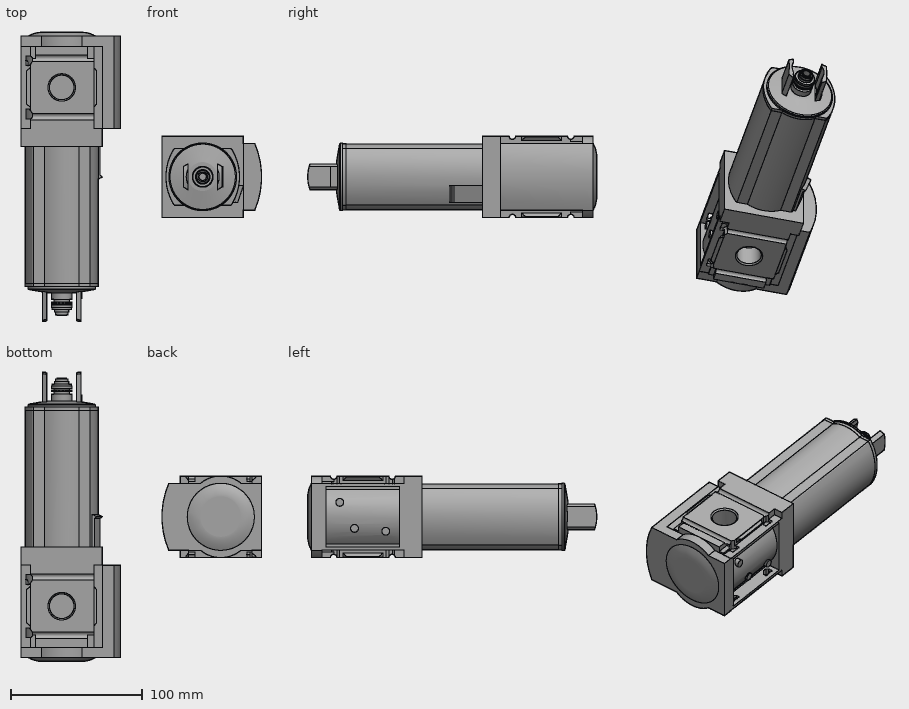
import cadquery as cq
import math


HEAD_SIDE = 62.0
HEAD_HALF = HEAD_SIDE / 2
HEAD_BACK = 84.2
FLANGE_THICKNESS = 13.8
CORE_HALF = 25.5
BAND_FRONT = 76.3
STRIP_STEP = 0.2
PANEL_EDGE_X = 39.5
PANEL_TIP_X = 44.8
BUMP_HALF_WIDTH = 15.4
DOME_BASE_RADIUS = 25.5
DOME_FLAT_RADIUS = 15.4
DOME_HEIGHT = 2.9

PAD_LEFT = -23.7
PAD_RIGHT = 24.5
PAD_CENTRE_Y = (FLANGE_THICKNESS + BAND_FRONT) / 2
GROOVE_RADIUS = 2.5
GROOVE_OFFSET = 22.2
CORNER_LEVEL = 26.8
CORNER_FRONT = 67.0
CORNER_HALF_GAP = 19.8
PORT_DIAMETER = 18.7
PORT_MOUTH_DIAMETER = 20.9
PORT_DEPTH = 17.5
MOUTH_DEPTH = (PORT_MOUTH_DIAMETER - PORT_DIAMETER) / 2

RIB_TOP = 30.5
RIB_TIP_LEVEL = 30.1
RIB_ROOT_LEVEL = 27.5
RIB_HALF_LENGTH = 15.2
RIB_TIP_HALF_LENGTH = 12.5
LEFT_RIB_REACH = 3.0
RIGHT_RIB_REACH = 2.2

WINDOW_FRONT = 17.4
WINDOW_BACK = 73.0
WINDOW_HALF_HEIGHT = 22.9
WINDOW_FLOOR_X = -20.2
DRUM_RADIUS = 29.0
PIN_DIAMETER = 6.0
PIN_END_X = -29.2
PIN_PLACES = [(62.7, 11.0), (51.5, -8.8), (27.7, -11.0)]

NOTCH_OUTER_X = -27.3
NOTCH_SHOULDER_X = -24.6
NOTCH_INNER_X = -22.2
NOTCH_FRONT = 61.5
NOTCH_INNER_FRONT = 64.8
NOTCH_INNER_BACK = 67.7
NOTCH_BACK = 69.0

BOWL_DIAMETER = 50.3
BOWL_RADIUS = BOWL_DIAMETER / 2
BOWL_LENGTH = 106.5
BOWL_SIDE_X = 28.0
BOWL_CORNER_X = 22.2
BOWL_CORNER_Z = 21.5
BOWL_CHAMFER = 0.9
COLLAR_BACK = -103.8
COLLAR_GROWTH = 0.1
BEAD_RADIUS = 25.7
BEAD_FRONT = -108.0
CAP_BASE_RADIUS = 24.8
CAP_BASE_FRONT = -108.5
CAP_FLAT_RADIUS = 11.0
CAP_FRONT = -111.0

STEM_DIAMETER = 15.8
TOOTHED_BACK = -118.0
TOOTHED_FRONT = -119.4
STEM_STEPS = [
    (STEM_DIAMETER, -116.0),
    (11.9, TOOTHED_BACK),
    (STEM_DIAMETER, TOOTHED_FRONT),
    (11.9, -120.2),
    (STEM_DIAMETER, -122.2),
    (15.0, -123.8),
    (11.0, -125.7),
    (9.7, -127.7),
    (7.5, -128.4),
]
TOOTH_COUNT = 24
TOOTH_GAP_DIAMETER = 1.0
BORE_DIAMETER = 5.5
BORE_DEPTH = 6.5

WING_INNER_X = 11.2
WING_OUTER_X = 14.7
WING_INNER_HALF = 10.0
WING_OUTER_HALF = 7.7
WING_FRONT = -132.8
WING_CORNER_FRONT = -131.0
WING_RELIEF_RADIUS = 12.5
WING_PAD_FRONT = -115.5
WING_PAD_X = 15.4

LATCH_LOW_X = 22.9
LATCH_LOW_Z = -19.3
LATCH_HIGH_X = 27.3
LATCH_HIGH_Z = -6.5
LATCH_BAR_RISE = 2.0
LATCH_RIDGE_RISE = 3.7
LATCH_RIDGE_BACK = -21.5
LATCH_RIDGE_PEAK = -23.0
LATCH_FRONT = -24.8


def box(x0, x1, y0, y1, z0, z1):
    return cq.Workplane("XY").box(x1 - x0, y1 - y0, z1 - z0, centered=False).translate((x0, y0, z0))


def prism_along_y(profile, y_back, y_front):
    """Extrude a closed XZ profile (drawn on the XZ plane) from y_back to y_front."""
    return profile.extrude(y_back - y_front).translate((0, y_back, 0))


def cylinder_along_y(radius, y_back, y_front):
    return prism_along_y(cq.Workplane("XZ").circle(radius), y_back, y_front)


def cylinder_along_x(diameter, x0, x1, y, z):
    return cq.Workplane("YZ").center(y, z).circle(diameter / 2).extrude(x1 - x0).translate((x0, 0, 0))


def on_top_and_bottom(upper):
    return upper.union(upper.mirror("XY"))


def head_core():
    flange = box(-HEAD_HALF, HEAD_HALF, 0, FLANGE_THICKNESS, -HEAD_HALF, HEAD_HALF)
    section = (
        cq.Workplane("XZ")
        .moveTo(-HEAD_HALF, -CORE_HALF)
        .lineTo(PANEL_EDGE_X, -CORE_HALF)
        .threePointArc((PANEL_TIP_X, 0), (PANEL_EDGE_X, CORE_HALF))
        .lineTo(-HEAD_HALF, CORE_HALF)
        .close()
    )
    strip_recess = box(-HEAD_HALF, HEAD_HALF, FLANGE_THICKNESS, BAND_FRONT, CORE_HALF - STRIP_STEP, CORE_HALF)
    core = prism_along_y(section, HEAD_BACK, FLANGE_THICKNESS).cut(on_top_and_bottom(strip_recess))
    return flange.union(core)


def band_bump():
    section = (
        cq.Workplane("XZ")
        .moveTo(-BUMP_HALF_WIDTH, CORE_HALF)
        .threePointArc((0, HEAD_HALF), (BUMP_HALF_WIDTH, CORE_HALF))
        .lineTo(BUMP_HALF_WIDTH, 0)
        .lineTo(-BUMP_HALF_WIDTH, 0)
        .close()
    )
    return prism_along_y(section, HEAD_BACK, BAND_FRONT)


def back_dome():
    run = DOME_BASE_RADIUS - DOME_FLAT_RADIUS
    arc_radius = (run ** 2 + DOME_HEIGHT ** 2) / (2 * DOME_HEIGHT)
    half_angle = math.atan2(DOME_HEIGHT, run)
    dome_back = HEAD_BACK + DOME_HEIGHT
    middle = (
        DOME_FLAT_RADIUS + arc_radius * math.sin(half_angle),
        dome_back - arc_radius * (1 - math.cos(half_angle)),
    )
    return (
        cq.Workplane("XY")
        .moveTo(0, BAND_FRONT)
        .lineTo(DOME_BASE_RADIUS, BAND_FRONT)
        .lineTo(DOME_BASE_RADIUS, HEAD_BACK)
        .threePointArc(middle, (DOME_FLAT_RADIUS, dome_back))
        .lineTo(0, dome_back)
        .close()
        .revolve(360, (0, 0, 0), (0, 1, 0))
    )


def clamping_rib(root_x, direction, reach):
    """Dovetail rib on a pad side: plan tapers to the tip, underside slopes up to the tip."""
    tip_x = root_x + direction * reach
    plan = (
        cq.Workplane("XY")
        .polyline([
            (root_x, PAD_CENTRE_Y - RIB_HALF_LENGTH),
            (tip_x, PAD_CENTRE_Y - RIB_TIP_HALF_LENGTH),
            (tip_x, PAD_CENTRE_Y + RIB_TIP_HALF_LENGTH),
            (root_x, PAD_CENTRE_Y + RIB_HALF_LENGTH),
        ])
        .close()
        .extrude(RIB_TOP)
    )
    section = (
        cq.Workplane("XZ")
        .polyline([
            (root_x, RIB_TOP),
            (tip_x, RIB_TOP),
            (tip_x, RIB_TIP_LEVEL),
            (root_x, RIB_ROOT_LEVEL),
        ])
        .close()
    )
    return plan.intersect(prism_along_y(section, BAND_FRONT, FLANGE_THICKNESS))


def port_pad():
    pad = box(PAD_LEFT, PAD_RIGHT, FLANGE_THICKNESS, BAND_FRONT, 0, HEAD_HALF)
    for side in (-1, 1):
        groove_y = PAD_CENTRE_Y + side * GROOVE_OFFSET
        groove = cylinder_along_x(2 * GROOVE_RADIUS, -HEAD_HALF, HEAD_HALF, groove_y, HEAD_HALF)
        pad = pad.cut(groove)
    for x0, x1 in ((-HEAD_HALF, -CORNER_HALF_GAP), (CORNER_HALF_GAP, HEAD_HALF)):
        pad = pad.cut(box(x0, x1, CORNER_FRONT, BAND_FRONT, CORNER_LEVEL, HEAD_HALF))
    pad = pad.union(clamping_rib(PAD_LEFT, -1, LEFT_RIB_REACH))
    return pad.union(clamping_rib(PAD_RIGHT, 1, RIGHT_RIB_REACH))


def port():
    bore = cq.Workplane("XY").workplane(offset=HEAD_HALF - PORT_DEPTH)
    bore = bore.center(0, PAD_CENTRE_Y).circle(PORT_DIAMETER / 2).extrude(PORT_DEPTH)
    mouth = cq.Workplane("XY").workplane(offset=HEAD_HALF).center(0, PAD_CENTRE_Y)
    mouth = mouth.circle(PORT_MOUTH_DIAMETER / 2).workplane(offset=-MOUTH_DEPTH)
    mouth = mouth.circle(PORT_DIAMETER / 2).loft()
    return bore.union(mouth)


def window():
    """Opening in the -X side, with the drum standing up from its floor."""
    opening = box(
        -HEAD_HALF, WINDOW_FLOOR_X, WINDOW_FRONT, WINDOW_BACK, -WINDOW_HALF_HEIGHT, WINDOW_HALF_HEIGHT
    )
    opening = opening.cut(cylinder_along_y(DRUM_RADIUS, WINDOW_BACK, WINDOW_FRONT))
    for y, z in PIN_PLACES:
        opening = opening.cut(cylinder_along_x(PIN_DIAMETER, PIN_END_X, 0, y, z))
    return opening


def clamp_notch():
    """Notch behind the port axis, through the wall above the window and into the pad side."""
    depth = HEAD_HALF - WINDOW_HALF_HEIGHT
    return (
        cq.Workplane("XY")
        .workplane(offset=WINDOW_HALF_HEIGHT)
        .polyline([
            (NOTCH_OUTER_X, NOTCH_FRONT),
            (NOTCH_SHOULDER_X, NOTCH_FRONT),
            (NOTCH_INNER_X, NOTCH_INNER_FRONT),
            (NOTCH_INNER_X, NOTCH_INNER_BACK),
            (PAD_LEFT, NOTCH_BACK),
            (NOTCH_OUTER_X, NOTCH_BACK),
        ])
        .close()
        .extrude(depth)
    )


def make_head():
    head = head_core().union(back_dome())
    head = head.union(on_top_and_bottom(band_bump()))
    head = head.union(on_top_and_bottom(port_pad()))
    head = head.cut(on_top_and_bottom(port())).cut(window())
    back_notches = on_top_and_bottom(clamp_notch())
    front_notches = back_notches.mirror("XZ", (0, PAD_CENTRE_Y, 0))
    return head.cut(back_notches).cut(front_notches)


def bowl_prism(growth, y_back, y_front):
    """Round bowl joined with a wider, flatter section; growth moves the whole outline outwards."""
    corner_x = BOWL_CORNER_X + growth
    corner_z = BOWL_CORNER_Z - BOWL_CHAMFER
    flat_x = BOWL_CORNER_X - BOWL_CHAMFER
    flat_z = BOWL_CORNER_Z + growth
    side_x = BOWL_SIDE_X + growth
    wide_section = (
        cq.Workplane("XZ")
        .moveTo(-flat_x, -flat_z)
        .lineTo(flat_x, -flat_z)
        .lineTo(corner_x, -corner_z)
        .threePointArc((side_x, 0), (corner_x, corner_z))
        .lineTo(flat_x, flat_z)
        .lineTo(-flat_x, flat_z)
        .lineTo(-corner_x, corner_z)
        .threePointArc((-side_x, 0), (-corner_x, -corner_z))
        .lineTo(-flat_x, -flat_z)
        .close()
    )
    wide_part = prism_along_y(wide_section, y_back, y_front)
    return wide_part.union(cylinder_along_y(BOWL_RADIUS + growth, y_back, y_front))


def bowl_shell():
    return bowl_prism(0, 0, COLLAR_BACK).union(bowl_prism(COLLAR_GROWTH, COLLAR_BACK, -BOWL_LENGTH))


def end_cap():
    """Bead around the end of the bowl and the shallow cap in front of it."""
    return (
        cq.Workplane("XY")
        .polyline([
            (0, -BOWL_LENGTH),
            (BEAD_RADIUS, -BOWL_LENGTH),
            (BEAD_RADIUS, BEAD_FRONT),
            (CAP_BASE_RADIUS, CAP_BASE_FRONT),
            (CAP_FLAT_RADIUS, CAP_FRONT),
            (0, CAP_FRONT),
        ])
        .close()
        .revolve(360, (0, 0, 0), (0, 1, 0))
    )


def drain_stem():
    stem = cylinder_along_y(STEM_DIAMETER / 2, -BOWL_LENGTH, CAP_FRONT)
    back = CAP_FRONT
    for diameter, front in STEM_STEPS:
        stem = stem.union(cylinder_along_y(diameter / 2, back, front))
        back = front
    stem = stem.cut(cylinder_along_y(BORE_DIAMETER / 2, back + BORE_DEPTH, back))
    tooth_gaps = (
        cq.Workplane("XZ")
        .polarArray(STEM_DIAMETER / 2, 0, 360, TOOTH_COUNT)
        .circle(TOOTH_GAP_DIAMETER / 2)
    )
    return stem.cut(prism_along_y(tooth_gaps, TOOTHED_BACK, TOOTHED_FRONT))


def wing():
    section = (
        cq.Workplane("XZ")
        .polyline([
            (WING_INNER_X, -WING_INNER_HALF),
            (WING_OUTER_X, -WING_OUTER_HALF),
            (WING_OUTER_X, WING_OUTER_HALF),
            (WING_INNER_X, WING_INNER_HALF),
        ])
        .close()
    )
    side_outline = (
        cq.Workplane("YZ")
        .moveTo(-BOWL_LENGTH, -WING_INNER_HALF)
        .lineTo(WING_CORNER_FRONT, -WING_INNER_HALF)
        .threePointArc((WING_FRONT, 0), (WING_CORNER_FRONT, WING_INNER_HALF))
        .lineTo(-BOWL_LENGTH, WING_INNER_HALF)
        .close()
        .extrude(HEAD_HALF)
    )
    relief = cylinder_along_y(WING_RELIEF_RADIUS, CAP_FRONT, WING_FRONT)
    return prism_along_y(section, -BOWL_LENGTH, WING_FRONT).intersect(side_outline).cut(relief)


def latch():
    """Bar with a pointed ridge at its front end, leaning along the curved +X side of the bowl."""
    plan = (
        cq.Workplane("XY", origin=(LATCH_LOW_X, 0, LATCH_LOW_Z))
        .polyline([
            (-LATCH_BAR_RISE, 0),
            (LATCH_BAR_RISE, 0),
            (LATCH_BAR_RISE, LATCH_RIDGE_BACK),
            (LATCH_RIDGE_RISE, LATCH_RIDGE_PEAK),
            (0, LATCH_FRONT),
            (-LATCH_BAR_RISE, LATCH_FRONT),
        ])
        .close()
    )
    lean = cq.Vector(LATCH_HIGH_X - LATCH_LOW_X, 0, LATCH_HIGH_Z - LATCH_LOW_Z)
    return cq.Workplane(cq.Solid.extrudeLinear(plan.val(), [], lean))


def make_bowl():
    bowl = bowl_shell().union(end_cap()).union(drain_stem())
    right_wing = wing()
    right_pad = box(
        WING_OUTER_X, WING_PAD_X, WING_PAD_FRONT, -BOWL_LENGTH, -WING_OUTER_HALF, WING_OUTER_HALF
    )
    bowl = bowl.union(right_wing).union(right_wing.mirror("YZ")).union(right_pad)
    return bowl.union(latch())


head = make_head()
bowl = make_bowl()

result = cq.Compound.makeCompound([head.val(), bowl.val()])